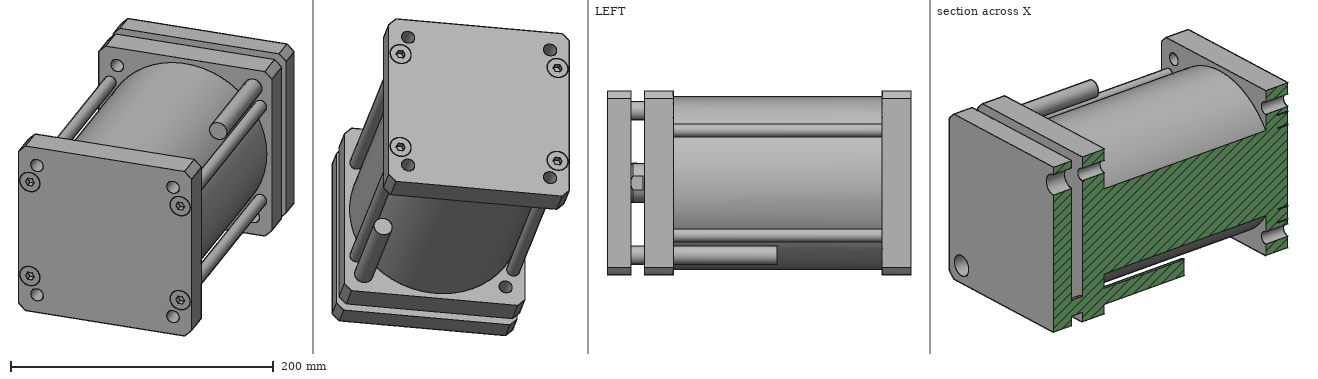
import cadquery as cq
import math

TOTAL_LENGTH = 231.0
END_PLATE_THICKNESS = 22.0
TOOL_PLATE_THICKNESS = 18.0
PLATE_GAP = 10.2
BEARING_BACK_Y = TOTAL_LENGTH - TOOL_PLATE_THICKNESS - PLATE_GAP
BEARING_FRONT_Y = BEARING_BACK_Y - END_PLATE_THICKNESS
TOOL_PLATE_Y = TOTAL_LENGTH - TOOL_PLATE_THICKNESS

PLATE_SIDE = 140.0
PLATE_CORNER_DIAMETER = 190.0

BARREL_DIAMETER = 132.0
PISTON_ROD_DIAMETER = 30.0
PISTON_ROD_CHAMFER_LENGTH = 1.5
PISTON_ROD_CHAMFER_DEPTH = 0.7
WRENCH_FLAT_WIDTH = 28.2
WRENCH_FLAT_CLEARANCE = 1.2

CORNER_OFFSET = 55.0
GUIDE_ROD_DIAMETER = 14.0
GUIDE_ROD_OVERHANG = 79.0
CORNER_HOLE_DIAMETER = 10.2
TOOL_HOLE_DIAMETER = 17.0

TIE_ROD_DIAMETER = 10.0
TIE_ROD_X = 60.8
TIE_ROD_Z = 40.0
COUNTERBORE_DIAMETER = 16.5
SCREW_HEAD_DIAMETER = 16.0
SCREW_HEAD_HEIGHT = 10.0
SOCKET_ACROSS_FLATS = 6.0
SOCKET_DEPTH = 5.0

TIE_POINTS = [(x, z) for x in (-TIE_ROD_X, TIE_ROD_X) for z in (-TIE_ROD_Z, TIE_ROD_Z)]
GUIDE_POINTS = [(-CORNER_OFFSET, -CORNER_OFFSET), (CORNER_OFFSET, CORNER_OFFSET)]
OPEN_POINTS = [(-CORNER_OFFSET, CORNER_OFFSET), (CORNER_OFFSET, -CORNER_OFFSET)]


def rods(points, diameter, start_y, end_y):
    """Round bars along Y at the given (x, z) points."""
    sketch = cq.Workplane("XZ", origin=(0, start_y, 0)).pushPoints(points)
    return sketch.circle(diameter / 2).extrude(start_y - end_y)


def plate(start_y, thickness):
    """Square plate with its corners turned down to a circle about the cylinder axis."""
    square = cq.Workplane("XZ", origin=(0, start_y, 0)).rect(PLATE_SIDE, PLATE_SIDE).extrude(-thickness)
    return square.intersect(rods([(0, 0)], PLATE_CORNER_DIAMETER, start_y, start_y + thickness))


def front_plate():
    """Front plate with corner holes and a narrow gap around each sunk screw head."""
    body = plate(0, END_PLATE_THICKNESS)
    body = body.cut(rods(GUIDE_POINTS + OPEN_POINTS, CORNER_HOLE_DIAMETER, 0, END_PLATE_THICKNESS))
    body = body.cut(rods(TIE_POINTS, COUNTERBORE_DIAMETER, 0, SCREW_HEAD_HEIGHT))
    return body.union(screw_heads())


def screw_heads():
    """Cylindrical heads with hexagon sockets open to the front."""
    socket_corner_diameter = SOCKET_ACROSS_FLATS / math.cos(math.pi / 6)
    heads = rods(TIE_POINTS, SCREW_HEAD_DIAMETER, 0, SCREW_HEAD_HEIGHT)
    sockets = cq.Workplane("XZ").pushPoints(TIE_POINTS).polygon(6, socket_corner_diameter)
    return heads.cut(sockets.extrude(-SOCKET_DEPTH))


def bearing_plate():
    """Plate behind the barrel, solid around the guide rods and drilled at the other corners."""
    holes = rods(OPEN_POINTS, CORNER_HOLE_DIAMETER, BEARING_FRONT_Y, BEARING_BACK_Y)
    return plate(BEARING_FRONT_Y, END_PLATE_THICKNESS).cut(holes)


def tool_plate():
    """Rear plate carried by the piston rod and guide rods."""
    holes = rods(OPEN_POINTS, TOOL_HOLE_DIAMETER, TOOL_PLATE_Y, TOTAL_LENGTH)
    return plate(TOOL_PLATE_Y, TOOL_PLATE_THICKNESS).cut(holes)


def piston_rod():
    """Piston rod with two parallel wrench flats and a chamfer against the tool plate."""
    rod = rods([(0, 0)], PISTON_ROD_DIAMETER, BEARING_BACK_Y, TOOL_PLATE_Y)
    rod = rod.faces(">Y").edges().chamfer(PISTON_ROD_CHAMFER_LENGTH, PISTON_ROD_CHAMFER_DEPTH)
    flat_start_y = BEARING_BACK_Y + WRENCH_FLAT_CLEARANCE
    flat_length = TOOL_PLATE_Y - flat_start_y
    cutter_x = (WRENCH_FLAT_WIDTH + PISTON_ROD_DIAMETER) / 2
    cutters = (
        cq.Workplane("XZ", origin=(0, flat_start_y, 0))
        .pushPoints([(-cutter_x, 0), (cutter_x, 0)])
        .rect(PISTON_ROD_DIAMETER, PISTON_ROD_DIAMETER)
        .extrude(-flat_length)
    )
    return rod.cut(cutters)


barrel = rods([(0, 0)], BARREL_DIAMETER, END_PLATE_THICKNESS, BEARING_FRONT_Y)
tie_rods = rods(TIE_POINTS, TIE_ROD_DIAMETER, END_PLATE_THICKNESS, BEARING_FRONT_Y)
guide_rods = rods(GUIDE_POINTS, GUIDE_ROD_DIAMETER, BEARING_FRONT_Y - GUIDE_ROD_OVERHANG, TOOL_PLATE_Y)

result = front_plate()
for component in (barrel, tie_rods, bearing_plate(), guide_rods, piston_rod(), tool_plate()):
    result = result.union(component)